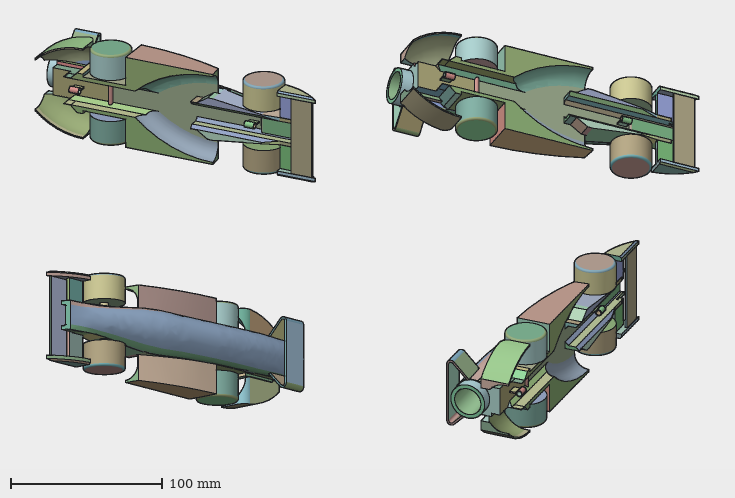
import cadquery as cq
import math


car_height = 52.0
half_track = 32.5
skirt_y = 3.8
ceiling_y = 13.8

wheel_d = 28.0
wheel_edge_radius = 1.5
axle_y = wheel_d / 2
front_axle_x = 51.0
rear_axle_x = 164.0
front_wheel_inner_z = 14.8
front_wheel_outer_z = half_track
rear_wheel_inner_z = 14.0
rear_wheel_outer_z = 31.6
axle_d = 3.5
bushing_d = 6.0
bushing_inner_z = 8.2
bushing_chamfer = 1.2

tail_x = 8.2
nose_x = 202.0
waist = 12.2
nose_half_width = 9.8
axle_half_width = 10.5
arch_skirt = 1.5
wall_gap = 0.1
stations = [
    (tail_x, waist, 30.2, 37.9, 46.3),
    (30.0, waist, 29.0, 38.8, 46.9),
    (48.0, waist, 28.3, 38.6, 46.8),
    (66.0, waist + 0.2, 28.1, 37.8, 45.7),
    (86.0, 13.2, 27.8, 36.0, 43.6),
    (106.5, 14.2, 26.3, 33.5, 40.3),
    (131.0, 14.9, 23.0, 29.4, 35.8),
    (151.0, 12.7, 20.4, 25.4, 30.6),
    (171.0, 10.2, 18.4, 21.3, 24.6),
    (187.0, nose_half_width, 16.7, 17.7, 18.6),
    (nose_x, nose_half_width, 14.6, 14.75, 14.9),
]
nose_top_x = 199.0
nose_top_y = 15.1
nose_tip_y = 10.0

pod_d = 24.5
pod_y = 33.4
bore_d = 19.0
bore_depth = 50.0

undercut_top_y = 20.0
keel_line_z = 9.8
flare_start_x = 26.2
flare_end_x = 30.9
flare_end_z = 14.3

front_keel_x = 21.0
front_keel_full_x = 24.4
channel_ceiling_z = 6.6
keel_edge = 0.3

wing_x = 179.7
wing_tip_x = 208.03
upper_flap_y = 6.5

rear_keel_x = 114.8
rear_flare_x = 119.5
rear_flare_end_x = 127.5
rear_keel_wide_z = 15.0
rear_keel_taper_x = 131.5
rear_channel_ceiling_z = 4.8
rear_channel_wall_z = 7.2
rear_channel_chamfer = 2.3
keel_rise_x = 167.6
keel_rise_end_x = 189.8
keel_tip_y = upper_flap_y - 0.3

taper = [
    (rear_keel_taper_x, rear_keel_wide_z),
    (keel_rise_x, axle_half_width),
    (wing_x, nose_half_width),
    (nose_x, nose_half_width),
]

fender_end_x = 35.2
fender_top_y = 23.9
fender_root_top_y = 25.0
fender_root_z = 13.9
fender_radius = 52.7
fender_rim = 1.0
fender_inner_radius = 36.1
fender_shell = 1.2
fender_corner_radius = 6.0

sidepod_x = 66.9
sidepod_end_x = 131.3
sidepod_top_y = 27.3
sidepod_mid_y = 23.6
sidepod_end_y = 14.5
sidepod_end_lean = 1.1
tunnel_outer_radius = 87.4
tunnel_rim = 1.5

hoop_x = 7.4
hoop_end_x = 24.9
hoop_half_span = 28.6
hoop_corner_radius = 3.2
hoop_thickness = 1.5

guide_d = 4.5
guide_bore_d = 3.5
guide_y = 7.0
guide_length = 7.0
guide_stem = 1.0
guide_starts = (24.3, 153.7)

plate_bottom_y = 1.9
plate_top_y = 15.7
plate_middle_x = 194.9
plate_middle_y = 11.2
plate_inner_z = 27.0
plate_outer_z = 30.5
plate_chamfer = 1.2
upper_flap_thickness = 2.5
upper_flap_end_x = 193.0
lower_flap_y = 2.25
lower_flap_thickness = 1.5
lower_flap_end_x = 205.2


def upright(outline, low, high):
    """Extrude an outline of (X, Z) points from height low to height high."""
    plane = cq.Workplane("XZ", origin=(0, low, 0))
    return plane.polyline(outline).close().extrude(low - high)


def box(x0, x1, y0, y1, z0, z1):
    return cq.Workplane("XY").box(x1 - x0, y1 - y0, z1 - z0, centered=False).translate((x0, y0, z0))


def rod(x, y, diameter, z0, z1):
    """Cylinder along Z."""
    return cq.Workplane("XY", origin=(x, y, z0)).circle(diameter / 2).extrude(z1 - z0)


def both_sides(shape):
    return shape.union(shape.mirror("XY"))


def section(station):
    """Closed section of the arched top: a flat bottom, short sides and a roof of three arcs."""
    x, half_width, wall_top, crease, roof = station
    rise = roof - wall_top
    radius = (half_width**2 + rise**2) / (2 * rise)
    centre_y = roof - radius
    start = math.atan2(wall_top - centre_y, half_width)
    crease_angle = math.asin((crease - centre_y) / radius)

    def arc_point(angle, side):
        return (centre_y + radius * math.sin(angle), side * radius * math.cos(angle))

    middle = (start + crease_angle) / 2
    return (
        cq.Workplane("YZ", origin=(x, 0, 0))
        .moveTo(wall_top - arch_skirt, -half_width)
        .lineTo(wall_top, -half_width)
        .threePointArc(arc_point(middle, -1), arc_point(crease_angle, -1))
        .threePointArc((roof, 0), arc_point(crease_angle, 1))
        .threePointArc(arc_point(middle, 1), (wall_top, half_width))
        .lineTo(wall_top - arch_skirt, half_width)
        .close()
        .wire()
        .val()
    )


def side_prism(sketch):
    """Extrude a closed side profile across the full width of the car."""
    return sketch.extrude(2 * half_track)


def side_sketch():
    return cq.Workplane("XY", origin=(0, 0, -half_track))


def mirrored(points):
    """Close a half outline with its mirror image about Z = 0."""
    return points + [(u, -z) for u, z in reversed(points)]


def make_fuselage():
    arch = cq.Workplane(cq.Solid.makeLoft([section(s) for s in stations]))
    plan = [(tail_x, waist), (sidepod_x, waist)] + taper
    highest = max(s[2] for s in stations)
    edge = [(s[0], s[2] - wall_gap) for s in stations]
    side = side_prism(
        side_sketch()
        .moveTo(tail_x, ceiling_y)
        .lineTo(*edge[0])
        .spline(edge[1:], includeCurrent=True)
        .lineTo(nose_x, ceiling_y)
        .close()
    )
    walls = upright(mirrored(plan), ceiling_y, highest).intersect(side)
    undercut = upright(
        [
            (tail_x - 1, keel_line_z),
            (flare_start_x, keel_line_z),
            (flare_end_x, flare_end_z),
            (flare_end_x, half_track),
            (tail_x - 1, half_track),
        ],
        ceiling_y - 1,
        undercut_top_y,
    )
    return arch.union(walls).cut(both_sides(undercut))


def make_front_keels():
    blank = upright(
        [
            (front_keel_x, keel_line_z),
            (flare_start_x, keel_line_z),
            (flare_end_x, flare_end_z),
            (fender_end_x, flare_end_z),
            (fender_end_x, waist),
            (sidepod_x + 1, waist),
            (sidepod_x + 1, channel_ceiling_z),
            (front_keel_full_x, channel_ceiling_z),
        ],
        skirt_y,
        fender_root_top_y,
    )
    return both_sides(blank)


def make_front_channel():
    """Channel between the front keels, with chamfered ceiling corners."""
    wall_z = keel_line_z - keel_edge
    profile = [
        (ceiling_y, channel_ceiling_z),
        (ceiling_y - (wall_z - channel_ceiling_z), wall_z),
        (skirt_y, wall_z),
    ]
    return (
        cq.Workplane("YZ", origin=(tail_x, 0, 0))
        .polyline(mirrored(profile))
        .close()
        .extrude(sidepod_end_x - tail_x)
    )


def make_rear_keels():
    """Keels from the sidepods to the nose, with the flat nose floor between them."""
    plan = [
        (rear_keel_x, keel_line_z),
        (rear_flare_x, keel_line_z),
        (rear_flare_end_x, rear_keel_wide_z),
    ] + taper
    side = side_prism(
        side_sketch()
        .polyline(
            [
                (rear_keel_x, skirt_y),
                (keel_rise_x, skirt_y),
                (wing_x, keel_tip_y),
                (keel_rise_end_x, keel_tip_y),
                (keel_rise_end_x, nose_tip_y),
                (nose_x, nose_tip_y),
                (nose_x, ceiling_y),
                (rear_keel_x, ceiling_y),
            ]
        )
        .close()
    )
    rim_y = skirt_y + rear_channel_chamfer
    profile = [
        (ceiling_y, rear_channel_ceiling_z),
        (ceiling_y - rear_channel_chamfer, rear_channel_wall_z),
        (rim_y, rear_channel_wall_z),
        (skirt_y, keel_line_z - keel_edge),
    ]
    channel = (
        cq.Workplane("YZ", origin=(rear_keel_x, 0, 0))
        .polyline(mirrored(profile))
        .close()
        .extrude(nose_x - rear_keel_x)
    )
    floor_y = axle_y - axle_d / 2
    nose_floor = box(rear_axle_x, nose_x, floor_y, ceiling_y, -keel_line_z, keel_line_z)
    return upright(mirrored(plan), skirt_y, ceiling_y).intersect(side).cut(channel).union(nose_floor)


def make_fender():
    centre_z = half_track - fender_radius
    tail_z = centre_z + math.sqrt(fender_radius**2 - fender_end_x**2)
    middle_x = fender_end_x / 2
    middle_z = centre_z + math.sqrt(fender_radius**2 - middle_x**2)
    blank = (
        cq.Workplane("XZ", origin=(0, skirt_y, 0))
        .moveTo(0, waist)
        .lineTo(0, tail_z)
        .threePointArc((fender_end_x - middle_x, middle_z), (fender_end_x, half_track))
        .lineTo(fender_end_x, keel_line_z)
        .lineTo(tail_x, keel_line_z)
        .lineTo(tail_x, waist)
        .close()
        .extrude(skirt_y - fender_top_y)
    )
    corner = cq.selectors.NearestToPointSelector((fender_end_x, fender_top_y, half_track / 2))
    blank = blank.edges(corner).fillet(fender_corner_radius)
    roof_y = fender_top_y - fender_shell
    rim_radius = fender_radius - fender_rim
    bend = rim_radius - fender_inner_radius
    bend_y = roof_y - bend
    hollow = (
        cq.Workplane("XY")
        .moveTo(0, skirt_y)
        .lineTo(0, roof_y)
        .lineTo(fender_inner_radius, roof_y)
        .radiusArc((rim_radius, bend_y), bend)
        .lineTo(rim_radius, skirt_y)
        .close()
        .revolve(360, (0, 0, 0), (0, 1, 0))
        .translate((fender_end_x, 0, centre_z))
    )
    root = box(tail_x, fender_end_x, fender_top_y, fender_root_top_y, keel_line_z, fender_root_z)
    return blank.cut(hollow).union(root)


def make_sidepod():
    middle_x = (sidepod_x + sidepod_end_x) / 2
    return (
        cq.Workplane("XY")
        .moveTo(sidepod_x, skirt_y)
        .lineTo(sidepod_x, sidepod_top_y)
        .threePointArc((middle_x, sidepod_mid_y), (sidepod_end_x - sidepod_end_lean, sidepod_end_y))
        .lineTo(sidepod_end_x, skirt_y)
        .close()
        .extrude(half_track)
    )


def make_tunnel():
    """Curved hollow under one sidepod: a flat ceiling with a quarter-round outer side."""
    bend = ceiling_y - skirt_y
    centre_z = half_track - tunnel_rim - tunnel_outer_radius
    disc = (
        cq.Workplane("XY")
        .moveTo(0, skirt_y)
        .lineTo(0, ceiling_y)
        .lineTo(tunnel_outer_radius - bend, ceiling_y)
        .radiusArc((tunnel_outer_radius, skirt_y), bend)
        .close()
        .revolve(360, (0, 0, 0), (0, 1, 0))
        .translate((sidepod_end_x, 0, centre_z))
    )
    return disc.intersect(box(sidepod_x, sidepod_end_x, skirt_y, ceiling_y, 0, half_track))


def hoop_triangle(inset, corner_radius):
    """Triangle with 45 degree legs, moved inwards on all sides, with both top corners rounded."""
    top_y = car_height - inset
    half_span = hoop_half_span - inset * (1 + math.sqrt(2))
    return (
        cq.Workplane("YZ", origin=(hoop_x, 0, 0))
        .polyline([(top_y, -half_span), (top_y, half_span), (top_y - half_span, 0)])
        .close()
        .extrude(hoop_end_x - hoop_x)
        .edges("|X and >Y")
        .fillet(corner_radius)
    )


def make_hoop():
    outside = hoop_triangle(0, hoop_corner_radius)
    return outside.cut(hoop_triangle(hoop_thickness, hoop_corner_radius - hoop_thickness))


def make_guide(x):
    end = x + guide_length
    tube = cq.Workplane("YZ", origin=(x, guide_y, 0)).circle(guide_d / 2).extrude(guide_length)
    stem = box(x, end, guide_y, ceiling_y + 1, -guide_stem / 2, guide_stem / 2)
    hole = cq.Workplane("YZ", origin=(x, guide_y, 0)).circle(guide_bore_d / 2).extrude(guide_length)
    return tube.union(stem).cut(hole)


def make_wing():
    plate = (
        cq.Workplane("XY", origin=(0, 0, plate_inner_z))
        .moveTo(wing_x, plate_bottom_y)
        .lineTo(wing_x, plate_top_y)
        .threePointArc((plate_middle_x, plate_middle_y), (wing_tip_x, plate_bottom_y))
        .close()
        .extrude(plate_outer_z - plate_inner_z)
        .faces(">Z")
        .edges("not <X")
        .chamfer(plate_chamfer)
    )
    upper_flap = box(
        wing_x, upper_flap_end_x, upper_flap_y, upper_flap_y + upper_flap_thickness,
        rear_channel_wall_z, plate_inner_z,
    )
    lower_flap = box(
        keel_rise_end_x, lower_flap_end_x, lower_flap_y, lower_flap_y + lower_flap_thickness,
        0, plate_inner_z,
    )
    return both_sides(plate.union(upper_flap).union(lower_flap))


def make_axle(x, wheel_inner_z):
    bushing = rod(x, axle_y, bushing_d, bushing_inner_z, wheel_inner_z)
    bushing = bushing.faces("<Z").chamfer(bushing_chamfer)
    return rod(x, axle_y, axle_d, -bushing_inner_z, bushing_inner_z).union(both_sides(bushing))


def make_body():
    body = make_fuselage().union(make_front_keels()).union(both_sides(make_sidepod()))
    body = body.cut(make_front_channel()).cut(both_sides(make_tunnel()))
    body = body.union(make_rear_keels())
    tip = side_prism(
        side_sketch()
        .polyline(
            [
                (nose_top_x, nose_top_y),
                (nose_x, nose_tip_y),
                (nose_x + 1, nose_tip_y),
                (nose_x + 1, nose_top_y + 1),
                (nose_top_x, nose_top_y + 1),
            ]
        )
        .close()
    )
    body = body.cut(tip)
    body = body.union(both_sides(make_fender())).union(make_wing()).union(make_hoop())
    pod = cq.Workplane("YZ", origin=(0, pod_y, 0)).circle(pod_d / 2).extrude(2 * tail_x)
    bore = cq.Workplane("YZ", origin=(0, pod_y, 0)).circle(bore_d / 2).extrude(bore_depth)
    body = body.union(pod).cut(bore)
    body = body.union(make_axle(front_axle_x, front_wheel_inner_z))
    body = body.union(make_axle(rear_axle_x, rear_wheel_inner_z))
    for x in guide_starts:
        body = body.union(make_guide(x))
    return body.clean()


def make_wheel(x, inner_z, outer_z, side):
    wheel = rod(x, axle_y, wheel_d, inner_z, outer_z).faces(">Z").edges().fillet(wheel_edge_radius)
    return wheel if side > 0 else wheel.mirror("XY")


body = make_body()
wheels = []
for side in (1, -1):
    wheels.append(make_wheel(front_axle_x, front_wheel_inner_z, front_wheel_outer_z, side).val())
    wheels.append(make_wheel(rear_axle_x, rear_wheel_inner_z, rear_wheel_outer_z, side).val())

result = cq.Compound.makeCompound([*body.vals(), *wheels])